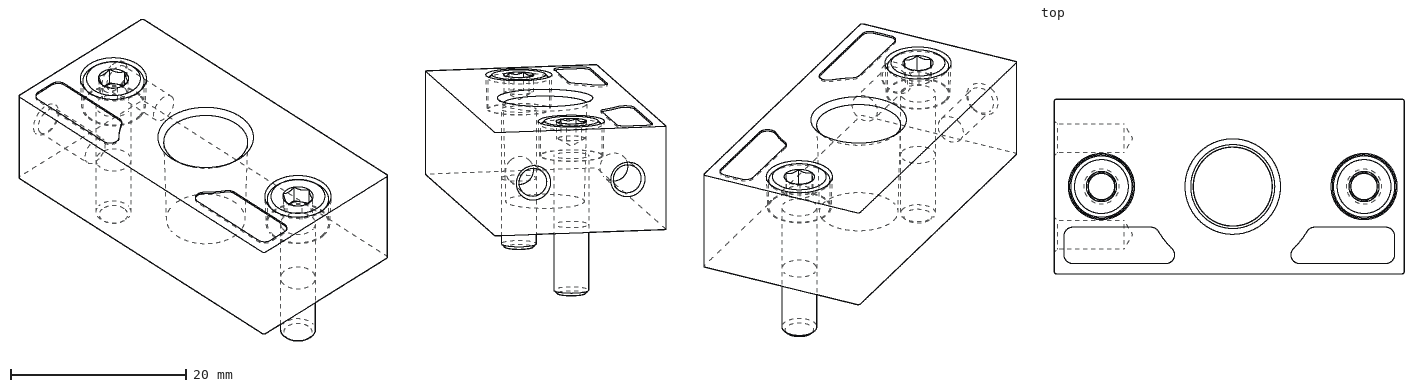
import cadquery as cq
import math

BLOCK_LENGTH = 40.0
BLOCK_WIDTH = 20.0
BLOCK_HEIGHT = 12.0
CORNER_RADIUS = 0.3

CENTRE_X = 0.4

BORE_BOTTOM_DIA = 9.0
BORE_TOP_DIA = 9.6
BORE_MOUTH_DIA = 10.9

SCREW_SPACING = 30.0
SCREW_X = [CENTRE_X - SCREW_SPACING / 2, CENTRE_X + SCREW_SPACING / 2]
THREAD_DIA = 4.0
TAPPING_DIA = 3.25
SHANK_PROJECTION = 8.0
HEAD_DIA = 7.0
HEAD_FACE_DIA = 6.15
HEAD_HEIGHT = 4.0
HEAD_TOP = BLOCK_HEIGHT
HEAD_SEAT = HEAD_TOP - HEAD_HEIGHT
COUNTERBORE_BOTTOM_DIA = 7.3
COUNTERBORE_MOUTH_DIA = 7.55
SOCKET_FLATS = 3.0
SOCKET_CORNERS = SOCKET_FLATS / math.cos(math.pi / 6)
SOCKET_DEPTH = 2.0

END_HOLE_SPACING = 11.0
END_HOLE_DEPTH = 8.0
DRILL_POINT_ANGLE = 118.0

LABEL_OUTER_X = 18.9
LABEL_FRONT_Y = -8.8
LABEL_BACK_Y = -4.65
LABEL_DEPTH = 0.2
LABEL_BORE_CLEARANCE_DIA = 19.85
LABEL_CORNER_RADIUS = 1.0


def cone_height(diameter):
    """Height of a drill-point cone with the given base diameter."""
    return diameter / 2 / math.tan(math.radians(DRILL_POINT_ANGLE / 2))


def turned(profile):
    """Solid turned about the Z axis from (radius, height) points."""
    return cq.Workplane("XZ").polyline(profile).close().revolve(360, (0, 0), (0, 1))


def bore_cutter():
    """Tapered through bore with a 45 degree chamfer at its mouth."""
    mouth_depth = (BORE_MOUTH_DIA - BORE_TOP_DIA) / 2
    cutter = turned([
        (0, 0),
        (BORE_BOTTOM_DIA / 2, 0),
        (BORE_TOP_DIA / 2, BLOCK_HEIGHT - mouth_depth),
        (BORE_MOUTH_DIA / 2, BLOCK_HEIGHT),
        (0, BLOCK_HEIGHT),
    ])
    return cutter.translate((CENTRE_X, 0, 0))


def screw_hole_cutter(x):
    """Shank hole with a flat-bottomed, slightly tapered counterbore for the screw head."""
    cutter = turned([
        (0, 0),
        (THREAD_DIA / 2, 0),
        (THREAD_DIA / 2, HEAD_SEAT),
        (COUNTERBORE_BOTTOM_DIA / 2, HEAD_SEAT),
        (COUNTERBORE_MOUTH_DIA / 2, BLOCK_HEIGHT),
        (0, BLOCK_HEIGHT),
    ])
    return cutter.translate((x, 0, 0))


def end_hole_cutter(y):
    """Blind tapping hole with a 45 degree countersink and a drill point."""
    countersink_depth = (THREAD_DIA - TAPPING_DIA) / 2
    cutter = turned([
        (0, 0),
        (THREAD_DIA / 2, 0),
        (TAPPING_DIA / 2, countersink_depth),
        (TAPPING_DIA / 2, END_HOLE_DEPTH),
        (0, END_HOLE_DEPTH + cone_height(TAPPING_DIA)),
    ])
    return cutter.rotate((0, 0, 0), (0, 1, 0), 90).translate((-BLOCK_LENGTH / 2, y, BLOCK_HEIGHT / 2))


def label_cutter(side):
    """Rounded recess on one side (-1 or +1), its inner edge an arc about the bore."""
    floor = cq.Workplane("XY", origin=(0, 0, BLOCK_HEIGHT - LABEL_DEPTH))
    strip_length = LABEL_OUTER_X - side * CENTRE_X
    strip_width = LABEL_BACK_Y - LABEL_FRONT_Y
    strip_x = (side * LABEL_OUTER_X + CENTRE_X) / 2
    strip_y = (LABEL_BACK_Y + LABEL_FRONT_Y) / 2
    strip = floor.center(strip_x, strip_y).rect(strip_length, strip_width).extrude(LABEL_DEPTH)
    clearance = floor.center(CENTRE_X, 0).circle(LABEL_BORE_CLEARANCE_DIA / 2).extrude(LABEL_DEPTH)
    return strip.cut(clearance).edges("|Z").fillet(LABEL_CORNER_RADIUS)


def make_block():
    block = cq.Workplane("XY").box(BLOCK_LENGTH, BLOCK_WIDTH, BLOCK_HEIGHT, centered=(True, True, False))
    block = block.edges("|Z").fillet(CORNER_RADIUS)
    block = block.cut(bore_cutter())
    for x in SCREW_X:
        block = block.cut(screw_hole_cutter(x))
    for side in (-1, 1):
        block = block.cut(end_hole_cutter(side * END_HOLE_SPACING / 2))
        block = block.cut(label_cutter(side))
    return block


def socket_cutter():
    """Hexagon socket with chamfered mouth and conical bottom."""
    floor_z = HEAD_TOP - SOCKET_DEPTH
    hexagon = (
        cq.Workplane("XY", origin=(0, 0, floor_z))
        .polygon(6, SOCKET_CORNERS)
        .extrude(SOCKET_DEPTH)
        .rotate((0, 0, 0), (0, 0, 1), 30)
    )
    mouth_depth = (SOCKET_CORNERS - SOCKET_FLATS) / 2
    mouth = turned([
        (0, HEAD_TOP - mouth_depth),
        (SOCKET_FLATS / 2, HEAD_TOP - mouth_depth),
        (SOCKET_CORNERS / 2, HEAD_TOP),
        (0, HEAD_TOP),
    ])
    point = turned([
        (0, floor_z - cone_height(SOCKET_FLATS)),
        (SOCKET_FLATS / 2, floor_z),
        (0, floor_z),
    ])
    return hexagon.union(mouth).union(point)


def make_screw(x):
    tip_chamfer = (THREAD_DIA - TAPPING_DIA) / 2
    head_chamfer = (HEAD_DIA - HEAD_FACE_DIA) / 2
    body = turned([
        (0, -SHANK_PROJECTION),
        (TAPPING_DIA / 2, -SHANK_PROJECTION),
        (THREAD_DIA / 2, -SHANK_PROJECTION + tip_chamfer),
        (THREAD_DIA / 2, HEAD_SEAT),
        (HEAD_DIA / 2, HEAD_SEAT),
        (HEAD_DIA / 2, HEAD_TOP - head_chamfer),
        (HEAD_FACE_DIA / 2, HEAD_TOP),
        (0, HEAD_TOP),
    ])
    return body.cut(socket_cutter()).translate((x, 0, 0))


block = make_block()
screws = [make_screw(x) for x in SCREW_X]

result = cq.Compound.makeCompound([block.val(), *[screw.val() for screw in screws]])